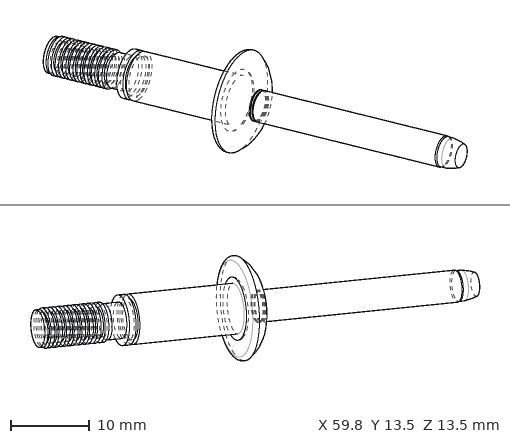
import cadquery as cq
import math


TOTAL_LENGTH = 59.79

LEAD_DIAMETER = 4.83
LEAD_LENGTH = 0.43
NECK_DIAMETER = 4.67
CREST_DIAMETER = 5.16
ROOT_DIAMETER = 3.98
CREST_COUNT = 8
CREST_PITCH = 1.056
CREST_WIDTH = 0.508
FIRST_CREST_X = 0.79
GROOVE_WIDTH = CREST_PITCH - CREST_WIDTH

COLLAR_DIAMETER = 6.49
COLLAR_X = 11.24
COLLAR_WIDTH = 0.9
RELIEF_DIAMETER = 5.27
RELIEF_WIDTH = 0.52

SLEEVE_DIAMETER = 6.48
SLEEVE_X = COLLAR_X + COLLAR_WIDTH + RELIEF_WIDTH
HEAD_DIAMETER = 13.46
HEAD_X = 26.91
HEAD_HEIGHT = 3.04
RIM_WIDTH = 0.71
RIM_RADIUS = 0.54
DOME_RADIUS = 4.9
UNDERCUT_DIAMETER = 8.07
UNDERCUT_RADIUS = (UNDERCUT_DIAMETER - SLEEVE_DIAMETER) / 4

PIN_DIAMETER = 4.12
TIP_DIAMETER = 3.96
TIP_END_DIAMETER = 3.1
TIP_STEP_X = 57.15
TIP_STEP_LENGTH = 0.21
TIP_TAPER_X = 58.07
TIP_TAPER_RADIUS = 6
NOTCH_DIAMETER = 3.86
NOTCH_SETBACK = 0.15
NOTCH_TAPER_LENGTH = 0.19
NOTCH_FLAT_LENGTH = 0.15


def cylinder(start_x, end_x, diameter):
    """Cylinder on the X axis between two stations."""
    return cq.Workplane("YZ", origin=(start_x, 0, 0)).circle(diameter / 2).extrude(end_x - start_x)


def revolve(profile):
    """Revolve a closed XY outline about the X axis."""
    return profile.close().revolve(360, (0, 0, 0), (1, 0, 0))


def threaded_end():
    """Chamfered lead collar, grooved root, annular crests and a flared neck."""
    neck_x = FIRST_CREST_X + CREST_PITCH * CREST_COUNT
    flare_x = neck_x - GROOVE_WIDTH
    profile = (
        cq.Workplane("XY")
        .lineTo(0, LEAD_DIAMETER / 2)
        .lineTo(LEAD_LENGTH, LEAD_DIAMETER / 2)
        .lineTo(FIRST_CREST_X, ROOT_DIAMETER / 2)
        .lineTo(flare_x, ROOT_DIAMETER / 2)
        .lineTo(neck_x, NECK_DIAMETER / 2)
        .lineTo(COLLAR_X, NECK_DIAMETER / 2)
        .lineTo(COLLAR_X, 0)
    )
    stem = revolve(profile)
    for index in range(CREST_COUNT):
        crest_x = FIRST_CREST_X + CREST_PITCH * index
        stem = stem.union(cylinder(crest_x, crest_x + CREST_WIDTH, CREST_DIAMETER))
    return stem


def collar_and_sleeve():
    """Locking collar, relief and the long sleeve up to the head."""
    collar_end = COLLAR_X + COLLAR_WIDTH
    collar = cylinder(COLLAR_X, collar_end, COLLAR_DIAMETER)
    relief = cylinder(collar_end, SLEEVE_X, RELIEF_DIAMETER)
    sleeve = cylinder(SLEEVE_X, HEAD_X + RIM_WIDTH, SLEEVE_DIAMETER)
    return collar.union(relief).union(sleeve)


def head():
    """Domed head with a rounded rim and a half-round undercut around the sleeve."""
    rim_end = HEAD_X + RIM_WIDTH
    head_end = HEAD_X + HEAD_HEIGHT
    rim_apex = HEAD_X + RIM_RADIUS
    rim_center_height = HEAD_DIAMETER / 2 - RIM_RADIUS
    rim_end_height = rim_center_height + math.sqrt(RIM_RADIUS**2 - (rim_end - rim_apex) ** 2)
    profile = (
        cq.Workplane("XY")
        .moveTo(HEAD_X, 0)
        .lineTo(HEAD_X, rim_center_height)
        .threePointArc((rim_apex, HEAD_DIAMETER / 2), (rim_end, rim_end_height))
        .radiusArc((head_end, PIN_DIAMETER / 2), DOME_RADIUS)
        .lineTo(head_end, 0)
    )
    undercut = revolve(
        cq.Workplane("XY")
        .moveTo(HEAD_X, SLEEVE_DIAMETER / 2)
        .radiusArc((HEAD_X, UNDERCUT_DIAMETER / 2), -UNDERCUT_RADIUS)
    )
    return revolve(profile).cut(undercut)


def pin():
    """Pin with a break notch at the head, a step down and a curved taper at its free end."""
    notch_x = HEAD_X + HEAD_HEIGHT + NOTCH_SETBACK
    notch_flat_x = notch_x + NOTCH_TAPER_LENGTH
    notch_end = notch_flat_x + NOTCH_FLAT_LENGTH
    profile = (
        cq.Workplane("XY")
        .moveTo(HEAD_X, 0)
        .lineTo(HEAD_X, PIN_DIAMETER / 2)
        .lineTo(notch_x, PIN_DIAMETER / 2)
        .lineTo(notch_flat_x, NOTCH_DIAMETER / 2)
        .lineTo(notch_end, NOTCH_DIAMETER / 2)
        .lineTo(notch_end, PIN_DIAMETER / 2)
        .lineTo(TIP_STEP_X, PIN_DIAMETER / 2)
        .lineTo(TIP_STEP_X + TIP_STEP_LENGTH, TIP_DIAMETER / 2)
        .lineTo(TIP_TAPER_X, TIP_DIAMETER / 2)
        .radiusArc((TOTAL_LENGTH, TIP_END_DIAMETER / 2), TIP_TAPER_RADIUS)
        .lineTo(TOTAL_LENGTH, 0)
    )
    return revolve(profile)


result = threaded_end().union(collar_and_sleeve()).union(head()).union(pin())